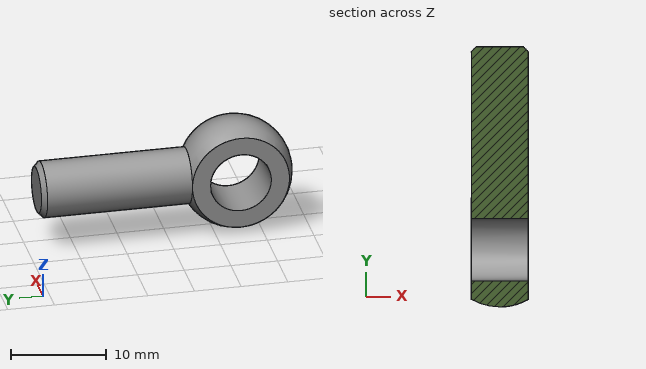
import math

import cadquery as cq

ball_diameter = 12.0
eye_width = 6.0
bore_diameter = 6.5
shank_diameter = 6.0
overall_length = 27.25
tip_chamfer = 0.54

ball_radius = ball_diameter / 2
shank_radius = shank_diameter / 2
tip_y = overall_length - ball_radius
neck_y = math.sqrt(ball_radius**2 - shank_radius**2)


def make_body():
    """Ball and chamfered shank turned as one body about the Y axis."""
    profile = (
        cq.Workplane("XY")
        .moveTo(0, -ball_radius)
        .threePointArc((ball_radius, 0), (shank_radius, neck_y))
        .lineTo(shank_radius, tip_y - tip_chamfer)
        .lineTo(shank_radius - tip_chamfer, tip_y)
        .lineTo(0, tip_y)
        .close()
    )
    return profile.revolve(360, (0, 0, 0), (0, 1, 0))


def make_flat_cutter(side):
    """Block that trims the ball flat on one side (+1 or -1) of X and stops at the neck."""
    block_length = ball_radius + neck_y
    return (
        cq.Workplane("XY")
        .box(ball_radius, block_length, ball_diameter)
        .translate((side * (eye_width + ball_radius) / 2, neck_y - block_length / 2, 0))
    )


def make_bore():
    """Through hole of the eye, along X."""
    return (
        cq.Workplane("YZ")
        .circle(bore_diameter / 2)
        .extrude(eye_width / 2, both=True)
    )


result = make_body()
for side in (-1, 1):
    result = result.cut(make_flat_cutter(side))
result = result.cut(make_bore())